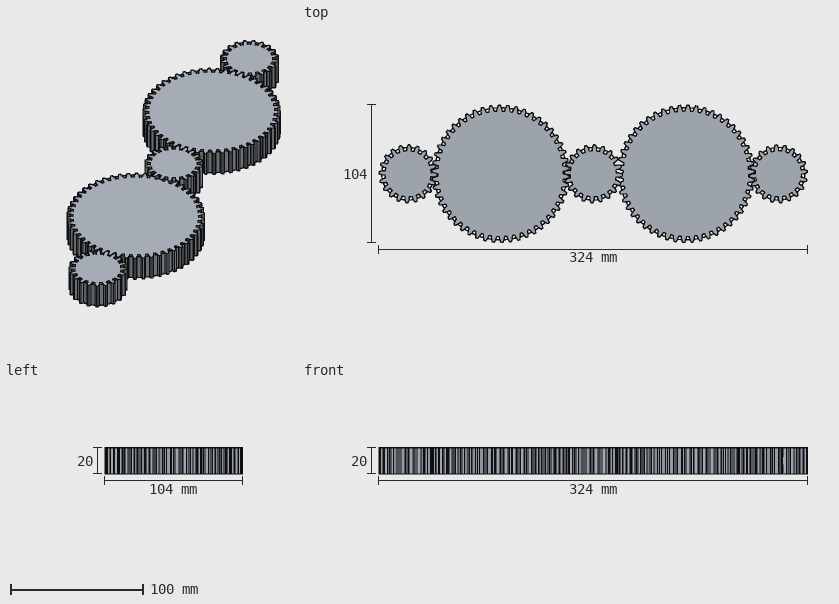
import math

import cadquery as cq

overall_length = 324.0
face_width = 20.0
pinion_teeth = 20
wheel_teeth = 50
pressure_angle = math.radians(20)
addendum_factor = 1.0
dedendum_factor = 1.25
backlash_factor = 0.02
rim_thickness = 0.15
flank_steps = 3

pinion_angles = [-2.2, -2.7, 4.7]
wheel_angles = [4.7, 1.8]

centre_distance_in_modules = (pinion_teeth + wheel_teeth) / 2
module = overall_length / (4 * centre_distance_in_modules + pinion_teeth + 2 * addendum_factor)
centre_distance = module * centre_distance_in_modules

TO_RIGHT = 0.0
TO_LEFT = math.pi


def polar(radius, angle):
    return (radius * math.cos(angle), radius * math.sin(angle))


def involute(angle):
    return math.tan(angle) - angle


def tooth_half_angle(teeth, radius):
    """Angle from the middle of a tooth to its flank; the flank is radial below the base circle."""
    base_radius = module * teeth / 2 * math.cos(pressure_angle)
    pitch_half_angle = (math.pi / 2 - backlash_factor / 2) / teeth
    radius_pressure_angle = math.acos(min(1.0, base_radius / radius))
    return pitch_half_angle + involute(pressure_angle) - involute(radius_pressure_angle)


def flank_points(teeth, from_radius, to_radius):
    """Points up an involute flank as (radius, angle from the middle of the tooth)."""
    radii = [from_radius + (to_radius - from_radius) * i / flank_steps for i in range(flank_steps + 1)]
    return [(radius, tooth_half_angle(teeth, radius)) for radius in radii]


def draw_gap(path, teeth, left_tooth, right_tooth, top_radius):
    """Continue the path down one flank, along the root circle and up the next flank.

    The path starts where the flank of the tooth at angle left_tooth meets top_radius.
    """
    root_radius = module * (teeth / 2 - dedendum_factor)
    base_radius = module * teeth / 2 * math.cos(pressure_angle)
    flank_start = max(base_radius, root_radius)
    has_radial_foot = root_radius < flank_start
    flank = flank_points(teeth, flank_start, top_radius)
    root_half_angle = tooth_half_angle(teeth, root_radius)
    descending = [polar(radius, left_tooth + angle) for radius, angle in reversed(flank)]
    ascending = [polar(radius, right_tooth - angle) for radius, angle in flank]

    path = path.spline(descending[1:], includeCurrent=True)
    if has_radial_foot:
        path = path.lineTo(*polar(root_radius, left_tooth + root_half_angle))
    path = path.threePointArc(
        polar(root_radius, (left_tooth + right_tooth) / 2),
        polar(root_radius, right_tooth - root_half_angle),
    )
    if has_radial_foot:
        path = path.lineTo(*ascending[0])
    return path.spline(ascending[1:], includeCurrent=True)


def meshing_gap(gap_angle, teeth, mating_teeth, mating_directions):
    """True for a gap that the tip circle of a mating gear reaches into."""
    pitch_radius = module * teeth / 2
    mating_tip_radius = module * (mating_teeth / 2 + addendum_factor)
    reach = math.acos(
        (centre_distance**2 + pitch_radius**2 - mating_tip_radius**2) / (2 * centre_distance * pitch_radius)
    )
    half_gap = math.pi / (2 * teeth)
    return any(math.cos(gap_angle - side) > math.cos(reach + half_gap) for side in mating_directions)


def spur_gear(teeth, mating_teeth, centre_x, tooth_angle, mating_directions):
    """Spur gear whose tooth gaps are closed by a thin rim at the pitch circle, except in the mesh."""
    pitch_radius = module * teeth / 2
    tip_radius = pitch_radius + addendum_factor * module
    rim_inner_radius = pitch_radius - rim_thickness
    pitch_half_angle = tooth_half_angle(teeth, pitch_radius)
    rim_half_angle = tooth_half_angle(teeth, rim_inner_radius)
    upper_flank = flank_points(teeth, pitch_radius, tip_radius)
    tooth_step = 2 * math.pi / teeth
    tooth_middles = [math.radians(tooth_angle) + i * tooth_step for i in range(teeth)]

    outline = cq.Workplane("XY").center(centre_x, 0)
    outline = outline.moveTo(*polar(pitch_radius, tooth_middles[0] - pitch_half_angle))
    closed_gaps = []
    for middle in tooth_middles:
        next_middle = middle + tooth_step
        gap_middle = middle + tooth_step / 2
        rising = [polar(radius, middle - angle) for radius, angle in upper_flank]
        falling = [polar(radius, middle + angle) for radius, angle in reversed(upper_flank)]
        outline = outline.spline(rising[1:], includeCurrent=True)
        outline = outline.threePointArc(polar(tip_radius, middle), falling[0])
        outline = outline.spline(falling[1:], includeCurrent=True)
        if meshing_gap(gap_middle, teeth, mating_teeth, mating_directions):
            outline = draw_gap(outline, teeth, middle, next_middle, pitch_radius)
        else:
            rim_end = polar(pitch_radius, next_middle - pitch_half_angle)
            outline = outline.threePointArc(polar(pitch_radius, gap_middle), rim_end)
            closed_gaps.append((middle, next_middle))
    outline = outline.close()

    for middle, next_middle in closed_gaps:
        cavity_start = polar(rim_inner_radius, middle + rim_half_angle)
        cavity_top = polar(rim_inner_radius, (middle + next_middle) / 2)
        outline = outline.moveTo(*cavity_start)
        outline = draw_gap(outline, teeth, middle, next_middle, rim_inner_radius)
        outline = outline.threePointArc(cavity_top, cavity_start).close()

    return outline.extrude(face_width)


pinion_sides = [[TO_RIGHT], [TO_LEFT, TO_RIGHT], [TO_LEFT]]
pinions = []
for i, tooth_angle in enumerate(pinion_angles):
    pinion_x = (2 * i - 2) * centre_distance
    pinions.append(spur_gear(pinion_teeth, wheel_teeth, pinion_x, tooth_angle, pinion_sides[i]))

wheels = []
for i, tooth_angle in enumerate(wheel_angles):
    wheel_x = (2 * i - 1) * centre_distance
    wheel = spur_gear(wheel_teeth, pinion_teeth, wheel_x, tooth_angle, [TO_LEFT, TO_RIGHT])
    for pinion in pinions[i:i + 2]:
        wheel = wheel.cut(pinion)
    wheels.append(wheel)

result = cq.Compound.makeCompound([gear.solids().val() for gear in pinions + wheels])